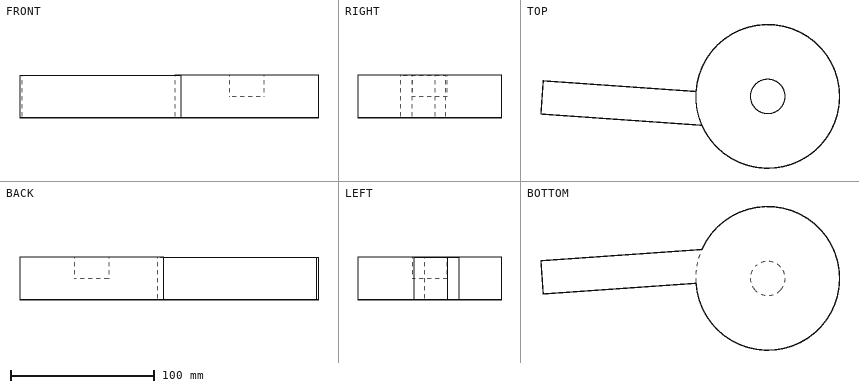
import cadquery as cq
import math

overall_length = 207.67
disc_diameter = 100.0
disc_thickness = 30.0
hole_diameter = 24.0
hole_depth = disc_thickness / 2
arm_width = 23.3
arm_step = 0.4
arm_tilt = 4.0

disc_radius = disc_diameter / 2
arm_reach = overall_length - disc_radius
tilt = math.radians(arm_tilt)
arm_length = (arm_reach - arm_width * math.sin(tilt)) / math.cos(tilt)
arm_thickness = disc_thickness - arm_step


def make_disc():
    """Round body standing on Z = 0."""
    return cq.Workplane("XY").circle(disc_radius).extrude(disc_thickness)


def make_arm():
    """Square-ended bar running from the disc axis toward -X, tilted about Z."""
    bar = cq.Workplane("XY").box(arm_length, arm_width, arm_thickness, centered=False)
    bar = bar.translate((-arm_length, -arm_width, 0))
    return bar.rotate((0, 0, 0), (0, 0, 1), -arm_tilt)


def make_hole():
    """Cutter for the blind, flat-bottomed hole sunk from the top of the disc."""
    disc_top = cq.Workplane("XY").workplane(offset=disc_thickness)
    return disc_top.circle(hole_diameter / 2).extrude(-hole_depth)


result = make_disc().union(make_arm()).cut(make_hole())